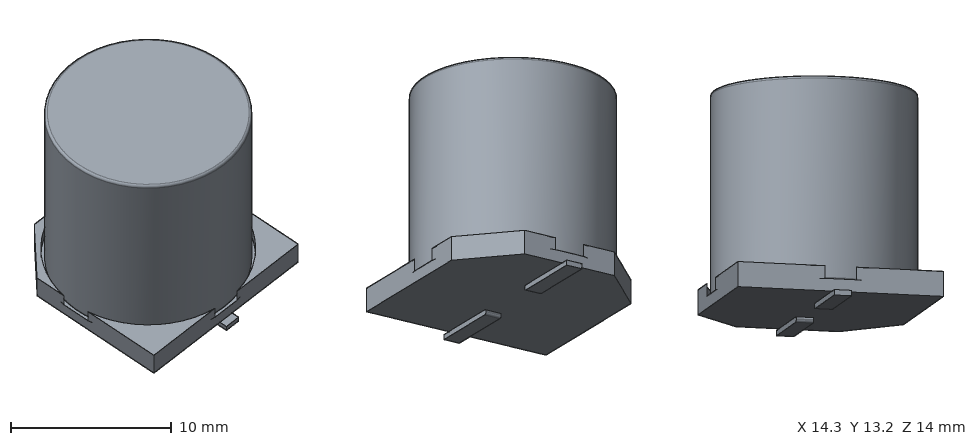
import cadquery as cq

lead_span = 14.3
total_height = 14.0

base_side = 13.2
base_thickness = 1.59
corner_cut = base_side / 4
recess_diameter = 13.35
recess_depth = 0.8

can_diameter = 12.9
can_top_radius = 0.17
can_bottom_radius = 0.1

lead_thickness = 0.35
lead_width = 1.12
lead_inner_gap = 4.49
lead_tip_radius = 0.16

base_top = lead_thickness + base_thickness
recess_floor = base_top - recess_depth


def make_base():
    """Square plate with two corners cut off and a round seat for the can.

    The seat is slightly wider than the plate, so it opens a notch in each side.
    """
    plate = (
        cq.Workplane("XY")
        .workplane(offset=lead_thickness)
        .rect(base_side, base_side)
        .extrude(base_thickness)
        .edges("|Z and <X")
        .chamfer(corner_cut)
    )
    seat = (
        cq.Workplane("XY")
        .workplane(offset=recess_floor)
        .circle(recess_diameter / 2)
        .extrude(recess_depth)
    )
    return plate.cut(seat)


def make_can():
    """Plain cylinder with rounded rims, standing on the floor of the seat."""
    return (
        cq.Workplane("XY")
        .workplane(offset=recess_floor)
        .circle(can_diameter / 2)
        .extrude(total_height - recess_floor)
        .edges(">Z")
        .fillet(can_top_radius)
        .edges("<Z")
        .fillet(can_bottom_radius)
    )


def make_lead(side):
    """Flat strip under the base; side is -1 for the -X lead and +1 for the +X lead."""
    length = (lead_span - lead_inner_gap) / 2
    center = side * (lead_inner_gap + length) / 2
    inner_face = ">X" if side < 0 else "<X"
    return (
        cq.Workplane("XY")
        .center(center, 0)
        .rect(length, lead_width)
        .extrude(lead_thickness)
        .faces(inner_face)
        .edges("|Y")
        .fillet(lead_tip_radius)
    )


base = make_base()
can = make_can()
leads = [make_lead(side) for side in (-1, 1)]

result = cq.Compound.makeCompound([base.val(), can.val(), *[lead.val() for lead in leads]])